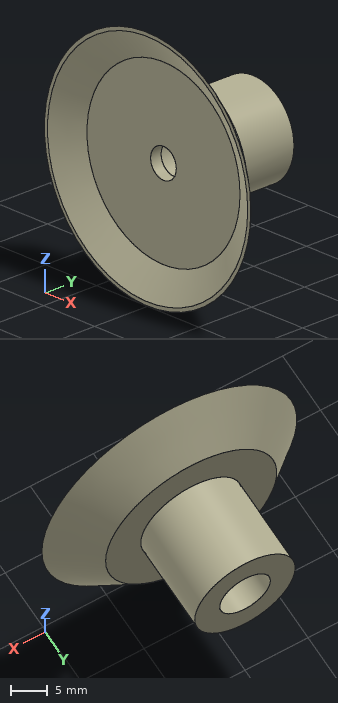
import cadquery as cq

total_length = 20.0
rim_radius = 20.25
cup_depth = 5.75
cup_back_radius = 13.6
cup_mouth_radius = 19.62
floor_radius = 15.0
floor_depth = 3.0
stem_radius = 8.0
hole_radius = 2.5
hole_length = 2.0
socket_radius = 4.0

half_section = [
    (hole_radius, floor_depth),
    (floor_radius, floor_depth),
    (cup_mouth_radius, 0),
    (rim_radius, 0),
    (cup_back_radius, cup_depth),
    (stem_radius, cup_depth),
    (stem_radius, total_length),
    (socket_radius, total_length),
    (socket_radius, floor_depth + hole_length),
    (hole_radius, floor_depth + hole_length),
]

result = (
    cq.Workplane("XY")
    .polyline(half_section)
    .close()
    .revolve(360, (0, 0, 0), (0, 1, 0))
)